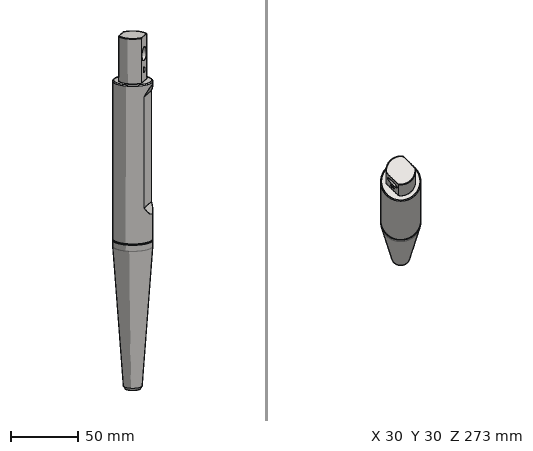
import cadquery as cq

total_length = 273.0
shoulder_z = 238.0
groove_z = 115.2
taper_top_z = 110.0
tip_chamfer_height = 2.2

body_diameter = 30.0
tip_diameter = 14.2
tip_face_diameter = 11.5
shoulder_chamfer = 0.8

groove_depth = 0.3
groove_half_width = 0.5

tenon_diameter = 22.0
tenon_width = 17.7
tenon_chamfer = 0.5
large_hole_diameter = 10.5
large_hole_z = total_length - 14.0
small_hole_diameter = 4.0
small_hole_z = total_length - 26.2

relief_depth = 3.3
relief_top_z = 235.3
relief_bottom_z = 136.0
relief_slope_length = 6.8


def make_shank():
    """Revolve the tapered lower end, the groove and the cylindrical body as one profile."""
    body_radius = body_diameter / 2
    return (
        cq.Workplane("XZ")
        .moveTo(0, 0)
        .lineTo(tip_face_diameter / 2, 0)
        .lineTo(tip_diameter / 2, tip_chamfer_height)
        .lineTo(body_radius, taper_top_z)
        .lineTo(body_radius, groove_z - groove_half_width)
        .lineTo(body_radius - groove_depth, groove_z)
        .lineTo(body_radius, groove_z + groove_half_width)
        .lineTo(body_radius, shoulder_z - shoulder_chamfer)
        .lineTo(body_radius - shoulder_chamfer, shoulder_z)
        .lineTo(0, shoulder_z)
        .close()
        .revolve(360, (0, 0, 0), (0, 1, 0))
    )


def make_tenon():
    """Round tenon, chamfered at its end, cut to a narrower width by flats facing -X and +X."""
    height = total_length - shoulder_z
    flats = cq.Workplane("XY").box(tenon_width, tenon_diameter, height, centered=(True, True, False))
    turned = cq.Workplane("XY").circle(tenon_diameter / 2).extrude(height)
    turned = turned.faces(">Z").chamfer(tenon_chamfer)
    return turned.intersect(flats).translate((0, 0, shoulder_z))


def cross_hole(diameter, z):
    """Cutter along X that passes through both tenon flats."""
    return cq.Workplane("YZ").center(0, z).circle(diameter / 2).extrude(tenon_diameter, both=True)


def relief_cutter():
    """Trapezoidal cutter, its slopes continued beyond the body surface."""
    floor_x = body_diameter / 2 - relief_depth
    outer_x = floor_x + 2 * relief_depth
    return (
        cq.Workplane("XZ")
        .moveTo(floor_x, relief_bottom_z + relief_slope_length)
        .lineTo(floor_x, relief_top_z - relief_slope_length)
        .lineTo(outer_x, relief_top_z + relief_slope_length)
        .lineTo(outer_x, relief_bottom_z - relief_slope_length)
        .close()
        .extrude(body_diameter, both=True)
    )


result = make_shank().union(make_tenon())
result = result.cut(cross_hole(large_hole_diameter, large_hole_z))
result = result.cut(cross_hole(small_hole_diameter, small_hole_z))
result = result.cut(relief_cutter())